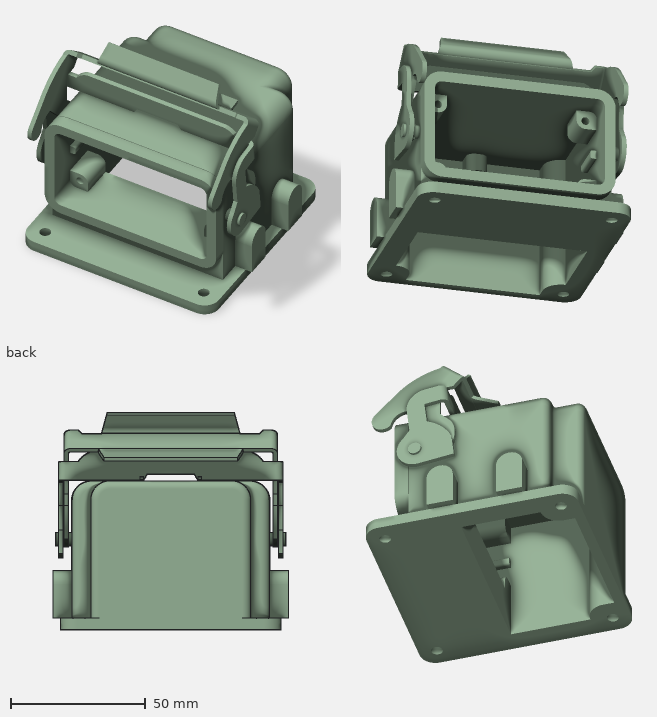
import cadquery as cq
import math

plate_side = 82.0
plate_thick = 4.4
plate_corner = 6.1
hole_spacing = 68.1
hole_diameter = 4.4
plate_edge = plate_side / 2

housing_top = 55.3
wide_half = 36.6
narrow_half = 29.7
wide_front = -24.3
wide_rear = 29.7
roof_round = 7.0
rear_round = 3.0
step_round = 1.05

collar_half = 36.8
collar_bottom = 12.1
collar_top = 55.0
collar_front = -29.7

wall = 3.9
mouth_half = 32.6
mouth_bottom = 16.0
mouth_top = 51.0
mouth_corner = 2.7
floor_end = -5.0
cavity_narrow_half = narrow_half - wall
cavity_wide_rear = wide_rear - wall
cavity_rear = plate_edge - wall

post_front = -18.0
post_width = 7.7
post_height = 7.3
post_round = 3.5
post_hole_diameter = 3.1
post_hole_depth = 7.0
post_hole_x = 28.35
post_hole_inset = 4.0
key_depth = 2.4
key_height = 3.3
key_round = 0.9
boss_width = 8.05
boss_drop = 6.65
boss_round = 3.15

peg_half_span = 43.75
peg_width = 10.15
peg_top = 22.05
peg_places = (16.8, -10.1)

pin_y = -20.2
pin_z = 33.7
pin_diameter = 5.0
pin_half_span = 42.7

clip_tilt = 6.4
clip_outer = 41.7
clip_thick = 1.75
clip_bend = 2.6
clip_foot_radius = 7.0
clip_heel = 14.35
clip_bar_rear = 14.8
clip_bar_bottom = 20.5
clip_bar_end_top = 27.4
clip_bar_mid_top = 31.0
clip_bar_mid_half = 29.6
clip_bar_shoulder_half = 34.4
clip_bar_mid_rise = 2.45
clip_corner = 7.9
clip_neck_front = -1.05
clip_neck_rear = 5.95
clip_neck_front_end = 10.0
clip_neck_rear_end = 11.9
clip_foot_start = (-3.9, 6.65)
clip_heel_top = 1.75
clip_heel_mid = (10.8, 8.1)
notch_half = 10.1
notch_height = 2.2
notch_slope = 1.3
lip_width = 1.3
lip_height = 1.05
lip_reach = 1.2

handle_outer = 39.6
handle_thick = 1.75
handle_bend = 2.45
fold_front = (-11.2, 72.4)
fold_rear = (-3.4, 65.45)
back_curve = ((-20.9, 69.0), (-29.2, 62.6))
tip_top = (-36.2, 55.65)
tip_curve = ((-36.4, 49.4), (-30.3, 49.3))
hollow_curve = ((-27.5, 53.7), (-23.7, 54.7))
notch_top = (-17.5, 47.3)
notch_back = (-11.8, 41.0)
eye_front = (-22.0, 35.9)
eye_bottom = (pin_y, 30.8)
eye_rear = (-7.0, 33.7)
hip_start = (-6.1, 36.75)
hip_curve = ((-5.5, 41.8), (-6.9, 46.1))
arm_rear_y = -11.2
arm_rear_bottom = 50.5
arm_ledge = (-6.1, 62.6)
strip_step_half = 32.9
strip_step_depth = 2.1
strip_step_slope = 1.4
flap_thick = 1.4
upper_flap_line = ((-4.5, 80.15), (-8.75, 75.5), (-8.3, 72.45))
upper_taper = (70.0, 80.7)
lower_flap_line = ((7.0, 63.35), (-0.5, 65.8), (-2.7, 67.0))
lower_taper = (-3.5, 7.3)
upper_root_half = 26.5
upper_tip_half = 23.6
lower_root_half = 27.1
lower_tip_half = 24.8


def box(x_range, y_range, z_range):
    """Box between two limits on each axis."""
    size = [high - low for low, high in (x_range, y_range, z_range)]
    return cq.Workplane("XY").box(*size, centered=False).translate((x_range[0], y_range[0], z_range[0]))


def side_slab(outline, x_inner, x_outer):
    """Extrude a workplane outline drawn on YZ between two X positions."""
    return outline.extrude(x_outer - x_inner).translate((x_inner, 0, 0))


def both_sides(shape):
    """A shape together with its mirror image across the YZ plane."""
    return shape.union(shape.mirror("YZ"))


def bent_band(plane, half_width, bend, thickness):
    """Outline of a shallow channel: a flat web whose two ends turn through a quarter circle."""
    flat_half = half_width - bend
    inner_half = half_width - thickness
    inner_bend = bend - thickness
    return (
        cq.Workplane(plane)
        .moveTo(-half_width, 0)
        .radiusArc((-flat_half, bend), bend)
        .lineTo(flat_half, bend)
        .radiusArc((half_width, 0), bend)
        .lineTo(inner_half, 0)
        .radiusArc((flat_half, inner_bend), -inner_bend)
        .lineTo(-flat_half, inner_bend)
        .radiusArc((-inner_half, 0), -inner_bend)
        .close()
    )


def make_plate():
    plate = cq.Workplane("XY").rect(plate_side, plate_side).extrude(plate_thick)
    plate = plate.edges("|Z").fillet(plate_corner)
    holes = cq.Workplane("XY").rect(hole_spacing, hole_spacing, forConstruction=True).vertices()
    return plate.cut(holes.circle(hole_diameter / 2).extrude(plate_thick))


def round_topped_block(half_width, y_rear):
    """Block on the plate with large roof rounds and softer rear edges."""
    block = box((-half_width, half_width), (wide_front, y_rear), (0, housing_top))
    block = block.edges("|Y and >Z").fillet(roof_round)
    return block.faces(">Y").edges("not <Z").fillet(rear_round)


def make_housing():
    housing = round_topped_block(wide_half, wide_rear).union(round_topped_block(narrow_half, plate_edge))
    step_line = cq.selectors.BoxSelector(
        (-wide_half, wide_rear - step_round, 0),
        (wide_half, wide_rear + step_round, housing_top),
    )
    housing = housing.edges("|Z").edges(step_line).fillet(step_round)
    collar = box((-collar_half, collar_half), (collar_front, wide_front), (collar_bottom, collar_top))
    return housing.union(collar.edges("|Y").fillet(roof_round))


def make_cavity():
    """Mouth with its own floor, opening into a chamber that is open below."""
    mouth = box((-mouth_half, mouth_half), (collar_front, floor_end), (mouth_bottom, mouth_top))
    mouth = mouth.edges("|Y").fillet(mouth_corner)
    shoulder_round = mouth_half - cavity_narrow_half
    round_rear = cavity_wide_rear + shoulder_round
    chamber = (
        cq.Workplane("XY")
        .moveTo(-mouth_half, floor_end)
        .lineTo(-mouth_half, cavity_wide_rear)
        .radiusArc((-cavity_narrow_half, round_rear), -shoulder_round)
        .lineTo(-cavity_narrow_half, cavity_rear)
        .lineTo(cavity_narrow_half, cavity_rear)
        .lineTo(cavity_narrow_half, round_rear)
        .radiusArc((mouth_half, cavity_wide_rear), -shoulder_round)
        .lineTo(mouth_half, floor_end)
        .close()
        .extrude(mouth_top)
    )
    return mouth.union(chamber)


def make_post(upper):
    """Screw post in one right-hand corner of the mouth, buried in the two walls beside it."""
    buried = wall / 2
    x_range = (mouth_half - post_width, mouth_half + buried)
    if upper:
        z_range = (mouth_top - post_height, mouth_top + buried)
        free_edge = "|Y and <X and <Z"
        hole_z = mouth_top - post_hole_inset
    else:
        z_range = (mouth_bottom - buried, mouth_bottom + post_height)
        free_edge = "|Y and <X and >Z"
        hole_z = mouth_bottom + post_hole_inset
    post = box(x_range, (post_front, floor_end), z_range).edges(free_edge).fillet(post_round)
    hole = cq.Workplane("XZ", origin=(post_hole_x, post_front, hole_z))
    return post.cut(hole.circle(post_hole_diameter / 2).extrude(-post_hole_depth))


def make_key():
    key = box(
        (mouth_half - key_depth, mouth_half + key_depth),
        (post_front, floor_end),
        (pin_z - key_height / 2, pin_z + key_height / 2),
    )
    return key.edges("|Y and <X").fillet(key_round)


def make_boss():
    """Boss hanging from the roof against the rear wall."""
    boss = box(
        (-boss_width / 2, boss_width / 2),
        (cavity_rear - boss_width, cavity_rear + wall / 2),
        (mouth_top - boss_drop, mouth_top + wall / 2),
    )
    return boss.edges("|Z and <Y").fillet(boss_round)


def make_peg(y_center):
    radius = peg_width / 2
    shoulder = peg_top - radius
    outline = (
        cq.Workplane("YZ")
        .moveTo(y_center - radius, plate_thick)
        .lineTo(y_center - radius, shoulder)
        .threePointArc((y_center, peg_top), (y_center + radius, shoulder))
        .lineTo(y_center + radius, plate_thick)
        .close()
    )
    return side_slab(outline, mouth_half + wall / 2, peg_half_span)


def make_pin():
    outline = cq.Workplane("YZ").center(pin_y, pin_z).circle(pin_diameter / 2)
    return side_slab(outline, mouth_half + wall / 2, pin_half_span)


def make_clip():
    """Clip drawn upright with the pin at its origin, then tilted into place."""
    fold = clip_bar_rear - clip_bend
    outline = (
        cq.Workplane("YZ")
        .moveTo(fold, clip_bar_end_top)
        .lineTo(clip_neck_front + clip_corner, clip_bar_end_top)
        .radiusArc((clip_neck_front, clip_bar_end_top - clip_corner), -clip_corner)
        .lineTo(clip_neck_front, clip_neck_front_end)
        .lineTo(*clip_foot_start)
        .threePointArc((-clip_foot_radius, 0), (0, -clip_foot_radius))
        .lineTo(clip_heel, -clip_foot_radius)
        .lineTo(clip_heel, clip_heel_top)
        .threePointArc(clip_heel_mid, (clip_neck_rear, clip_neck_rear_end))
        .lineTo(clip_neck_rear, clip_bar_bottom)
        .lineTo(fold, clip_bar_bottom)
        .close()
    )
    arms = both_sides(side_slab(outline, clip_outer - clip_thick, clip_outer))

    band = bent_band("XY", clip_outer, clip_bend, clip_thick).extrude(clip_bar_mid_top - clip_bar_bottom)
    band = band.translate((0, fold, clip_bar_bottom))

    rise_mid = ((clip_bar_mid_half + clip_bar_shoulder_half) / 2, clip_bar_end_top + clip_bar_mid_rise)
    face = (
        cq.Workplane("XZ")
        .moveTo(-clip_outer, clip_bar_bottom)
        .lineTo(-notch_half, clip_bar_bottom)
        .lineTo(-notch_half + notch_slope, clip_bar_bottom + notch_height)
        .lineTo(notch_half - notch_slope, clip_bar_bottom + notch_height)
        .lineTo(notch_half, clip_bar_bottom)
        .lineTo(clip_outer, clip_bar_bottom)
        .lineTo(clip_outer, clip_bar_end_top)
        .lineTo(clip_bar_shoulder_half, clip_bar_end_top)
        .threePointArc(rise_mid, (clip_bar_mid_half, clip_bar_mid_top))
        .lineTo(-clip_bar_mid_half, clip_bar_mid_top)
        .threePointArc((-rise_mid[0], rise_mid[1]), (-clip_bar_shoulder_half, clip_bar_end_top))
        .lineTo(-clip_outer, clip_bar_end_top)
        .close()
        .extrude(-2 * clip_bar_rear)
    )
    lip = box(
        (notch_half, notch_half + lip_width),
        (clip_bar_rear - clip_thick, clip_bar_rear + lip_reach),
        (clip_bar_bottom, clip_bar_bottom + lip_height),
    )
    clip = arms.union(band.intersect(face)).union(both_sides(lip))
    return clip.rotate((0, 0, 0), (1, 0, 0), clip_tilt).translate((0, pin_y, pin_z))


def make_handle_arms():
    outline = (
        cq.Workplane("YZ")
        .moveTo(*fold_rear)
        .lineTo(*fold_front)
        .threePointArc(*back_curve)
        .lineTo(*tip_top)
        .threePointArc(*tip_curve)
        .threePointArc(*hollow_curve)
        .lineTo(*notch_top)
        .lineTo(*notch_back)
        .lineTo(*eye_front)
        .lineTo(*eye_bottom)
        .lineTo(*eye_rear)
        .lineTo(*hip_start)
        .threePointArc(*hip_curve)
        .lineTo(arm_rear_y, arm_rear_bottom)
        .lineTo(arm_rear_y, arm_ledge[1])
        .lineTo(*arm_ledge)
        .close()
    )
    return both_sides(side_slab(outline, handle_outer - handle_thick, handle_outer))


def make_handle_strip():
    """Sloping strip drawn flat, running along Y from its front fold, then turned into place."""
    run = fold_rear[0] - fold_front[0]
    fall = fold_front[1] - fold_rear[1]
    length = math.hypot(run, fall)
    strip = bent_band("XZ", handle_outer, handle_bend, handle_thick).extrude(-length)
    step = (
        cq.Workplane("XY")
        .moveTo(-strip_step_half - strip_step_slope, 0)
        .lineTo(-strip_step_half, strip_step_depth)
        .lineTo(strip_step_half, strip_step_depth)
        .lineTo(strip_step_half + strip_step_slope, 0)
        .close()
        .extrude(handle_bend)
    )
    strip = strip.cut(step)
    slope = math.degrees(math.atan2(fall, run))
    return strip.rotate((0, 0, 0), (1, 0, 0), -slope).translate((0, *fold_front))


def make_flap(tip, bend_start, bend_end, root_half):
    """Sheet running straight from its tip and then curving into the strip, given in (Y, Z)."""
    path = cq.Workplane("YZ").moveTo(*tip).lineTo(*bend_start).tangentArcPoint(bend_end, relative=False)
    heading = (0, bend_start[0] - tip[0], bend_start[1] - tip[1])
    section = cq.Workplane(cq.Plane(origin=(0, *tip), xDir=(1, 0, 0), normal=heading))
    return section.rect(2 * root_half, flap_thick).sweep(path)


def trapezoid(plane, limits, root_half, tip_half):
    """Long prism that narrows between a root and a tip limit in the given plane."""
    root, tip = limits
    corners = [(-root_half, root), (root_half, root), (tip_half, tip), (-tip_half, tip)]
    return cq.Workplane(plane).polyline(corners).close().extrude(plate_side, both=True)


def make_handle():
    upper_flap = make_flap(*upper_flap_line, upper_root_half)
    upper_flap = upper_flap.intersect(trapezoid("XZ", upper_taper, upper_root_half, upper_tip_half))
    lower_flap = make_flap(*lower_flap_line, lower_root_half)
    lower_flap = lower_flap.intersect(trapezoid("XY", lower_taper, lower_root_half, lower_tip_half))
    return make_handle_arms().union(make_handle_strip()).union(upper_flap).union(lower_flap)


body = make_plate().union(make_housing()).cut(make_cavity())
body = body.union(both_sides(make_post(True).union(make_post(False)).union(make_key())))
body = body.union(make_boss())
for peg_y in peg_places:
    body = body.union(both_sides(make_peg(peg_y)))
result = body.union(both_sides(make_pin())).union(make_clip()).union(make_handle())